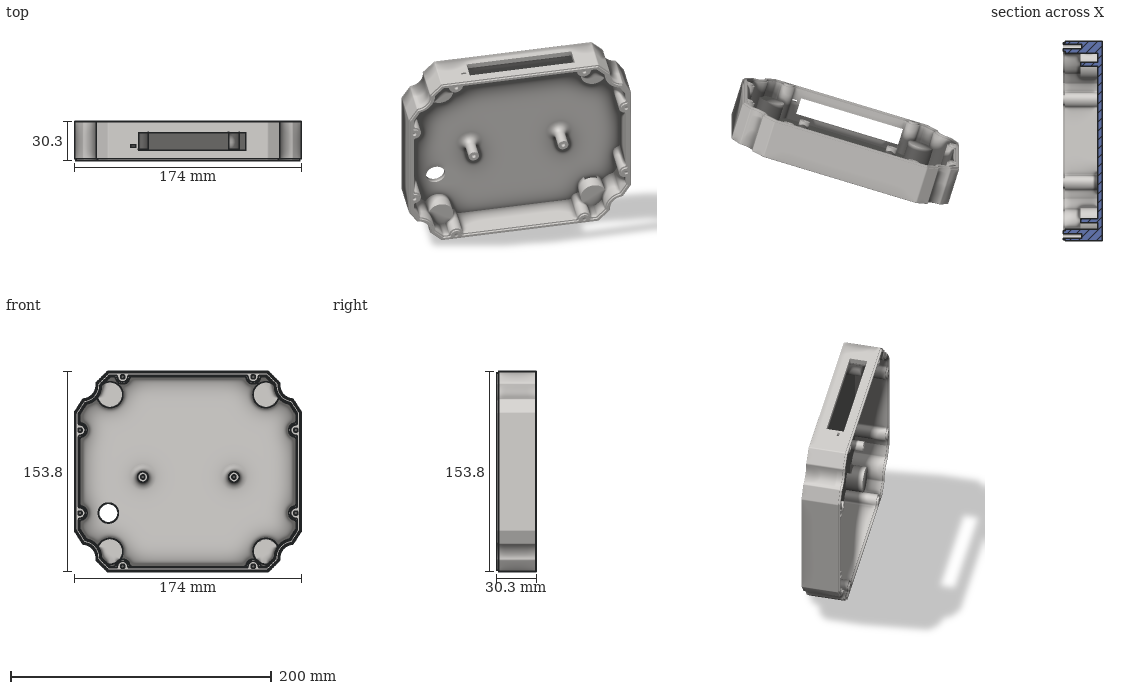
import cadquery as cq
import math

LENGTH = 174.0
DEPTH = 30.3
HEIGHT = 153.8
WALL = 4.0
FLOOR = 4.0
HALF_LENGTH = LENGTH / 2
HALF_HEIGHT = HEIGHT / 2
FRONT = -DEPTH / 2
BACK = DEPTH / 2
INNER_FLOOR = BACK - FLOOR

FLAT_HALF_LENGTH = 61.5
FLAT_HALF_HEIGHT = 45.4
NOTCH_X = 80.7
NOTCH_Z = 66.0
NOTCH_RADIUS = 10.3
NOTCH_SIDE_ANGLE = 268
NOTCH_TOP_ANGLE = 170
CORNER_ROUND = 1.5
BACK_EDGE_ROUND = 0.7

TONGUE_OUTER_INSET = 1.0
TONGUE_INNER_INSET = 3.0
TONGUE_HEIGHT = 1.4

SCREW_X = 50.1
SCREW_Z = 31.8
SCREW_INSET = 4.2
SCREW_BOSS_RADIUS = 5.4
SCREW_COLLAR_RADIUS = 4.0
SCREW_BLEND = 1.5
SCREW_HOLE_RADIUS = 1.5
SCREW_HOLE_DEPTH = 14.0

PAD_X = 59.9
PAD_UPPER_Z = 59.0
PAD_LOWER_Z = -61.2
PAD_RADIUS = 10.0
PAD_HEIGHT = 13.0

PASSAGE_WIDTH = 9.7
PASSAGE_HEIGHT = 3.3

STANDOFF_LEFT_X = -34.6
STANDOFF_RIGHT_X = 35.3
STANDOFF_Z = -4.2
STANDOFF_RADIUS = 4.0
STANDOFF_FLARE = 6.0
STANDOFF_HEIGHT = 17.5
STANDOFF_HOLE_RADIUS = 1.5
STANDOFF_HOLE_DEPTH = 10.5

CABLE_X = -61.0
CABLE_Z = -31.8
CABLE_RADIUS = 7.5

WINDOW_X = 3.1
WINDOW_Y = -0.3
WINDOW_LENGTH = 82.1
WINDOW_WIDTH = 13.5
SLIT_X = -42.1
SLIT_Y = -3.8
SLIT_LENGTH = 3.8
SLIT_WIDTH = 1.7


def plane_at(y):
    """XZ sketch plane at height y whose normal points to -Y."""
    return cq.Workplane("XZ", origin=(0, y, 0))


def notch_point(angle):
    turn = math.radians(angle)
    return (NOTCH_X + NOTCH_RADIUS * math.cos(turn), NOTCH_Z + NOTCH_RADIUS * math.sin(turn))


def outline_corner(sign_x, sign_z):
    """Bevel, notch arc and bevel of one corner, listed from the X side to the Z side."""
    mid_angle = (NOTCH_SIDE_ANGLE + NOTCH_TOP_ANGLE) / 2
    corner = [
        (HALF_LENGTH, FLAT_HALF_HEIGHT),
        notch_point(NOTCH_SIDE_ANGLE),
        notch_point(mid_angle),
        notch_point(NOTCH_TOP_ANGLE),
        (FLAT_HALF_LENGTH, HALF_HEIGHT),
    ]
    return [(sign_x * x, sign_z * z) for x, z in corner]


def outline_block(inset, front, back):
    """Block with the enclosure outline shrunk by inset, between two Y positions."""
    corners = [
        outline_corner(1, 1),
        outline_corner(-1, 1)[::-1],
        outline_corner(-1, -1),
        outline_corner(1, -1)[::-1],
    ]
    sketch = plane_at(back).moveTo(*corners[0][0])
    for first, arc_start, arc_mid, arc_end, last in corners:
        sketch = sketch.lineTo(*first) if first != corners[0][0] else sketch
        sketch = sketch.lineTo(*arc_start).threePointArc(arc_mid, arc_end).lineTo(*last)
    block = sketch.close().extrude(back - front).edges("|Y").fillet(CORNER_ROUND)
    if inset == 0:
        return block
    wires = block.faces("<Y").wires().vals()
    return cq.Workplane("XZ", origin=(0, front, 0)).add(wires).toPending().offset2D(-inset).extrude(front - back)


def screw_points():
    row_z = HALF_HEIGHT - SCREW_INSET
    row_x = HALF_LENGTH - SCREW_INSET
    points = []
    for sign_x in (-1, 1):
        for sign_z in (-1, 1):
            points.append((sign_x * SCREW_X, sign_z * row_z))
            points.append((sign_x * row_x, sign_z * SCREW_Z))
    return points


def at_notch_end(edge):
    """True for the inner edges where a notch arc meets its two bevels."""
    center = edge.Center()
    distance = math.hypot(abs(center.x) - NOTCH_X, abs(center.z) - NOTCH_Z)
    return distance < NOTCH_RADIUS + 2 * WALL - CORNER_ROUND


def near_screw(edge):
    center = edge.Center()
    return any(math.hypot(center.x - x, center.z - z) < 2 * SCREW_BOSS_RADIUS for x, z in screw_points())


def pocket(inset, boss_radius, front, back):
    """Inner space of the walls with a blended scallop left standing around every screw."""
    space = outline_block(inset, front, back).edges("|Y").filter(at_notch_end).fillet(CORNER_ROUND)
    bosses = plane_at(back).pushPoints(screw_points()).circle(boss_radius).extrude(back - front)
    space = space.cut(bosses)
    return space.edges("|Y").filter(near_screw).fillet(SCREW_BLEND)


def make_shell():
    shell = outline_block(0, FRONT, BACK).faces(">Y").edges().fillet(BACK_EDGE_ROUND)
    step = FRONT + TONGUE_HEIGHT
    outer_step = outline_block(0, FRONT, step).cut(outline_block(TONGUE_OUTER_INSET, FRONT, step))
    shell = shell.cut(outer_step)
    shell = shell.cut(pocket(TONGUE_INNER_INSET, SCREW_COLLAR_RADIUS, FRONT, step))
    return shell.cut(pocket(WALL, SCREW_BOSS_RADIUS, FRONT, INNER_FLOOR))


def make_pads():
    points = [(sign * PAD_X, z) for sign in (-1, 1) for z in (PAD_UPPER_Z, PAD_LOWER_Z)]
    pads = plane_at(BACK - FLOOR / 2).pushPoints(points).circle(PAD_RADIUS).extrude(FLOOR / 2 + PAD_HEIGHT)
    passage = plane_at(INNER_FLOOR).center(PAD_X, PAD_LOWER_Z)
    pads = pads.cut(passage.rect(PASSAGE_WIDTH, 2 * PAD_RADIUS).extrude(PASSAGE_HEIGHT))
    return pads.intersect(outline_block(TONGUE_INNER_INSET, FRONT, BACK))


def make_standoff(x):
    """Post revolved about its own Y axis, with a concave flare onto the floor."""
    sink = FLOOR / 2
    foot_radius = STANDOFF_RADIUS + STANDOFF_FLARE
    waist = STANDOFF_FLARE * (1 - math.sqrt(0.5))
    floor = INNER_FLOOR
    post = (
        cq.Workplane("XY", origin=(x, 0, STANDOFF_Z))
        .moveTo(0, floor + sink)
        .lineTo(foot_radius, floor + sink)
        .lineTo(foot_radius, floor)
        .threePointArc((STANDOFF_RADIUS + waist, floor - waist), (STANDOFF_RADIUS, floor - STANDOFF_FLARE))
        .lineTo(STANDOFF_RADIUS, floor - STANDOFF_HEIGHT)
        .lineTo(0, floor - STANDOFF_HEIGHT)
        .close()
        .revolve(360, (0, 0, 0), (0, 1, 0))
    )
    tip = plane_at(floor - STANDOFF_HEIGHT).center(x, STANDOFF_Z)
    return post.cut(tip.circle(STANDOFF_HOLE_RADIUS).extrude(-STANDOFF_HOLE_DEPTH))


def wall_opening(x, y, length, width):
    """Rectangular cutter through the +Z wall only."""
    base = cq.Workplane("XY", origin=(x, y, HALF_HEIGHT - 2 * WALL))
    return base.rect(length, width).extrude(2 * WALL)


body = make_shell().union(make_pads())
for standoff_x in (STANDOFF_LEFT_X, STANDOFF_RIGHT_X):
    body = body.union(make_standoff(standoff_x))

body = body.cut(plane_at(FRONT).pushPoints(screw_points()).circle(SCREW_HOLE_RADIUS).extrude(-SCREW_HOLE_DEPTH))
body = body.cut(plane_at(BACK).center(CABLE_X, CABLE_Z).circle(CABLE_RADIUS).extrude(FLOOR))
body = body.cut(wall_opening(WINDOW_X, WINDOW_Y, WINDOW_LENGTH, WINDOW_WIDTH))
body = body.cut(wall_opening(SLIT_X, SLIT_Y, SLIT_LENGTH, SLIT_WIDTH))

result = body